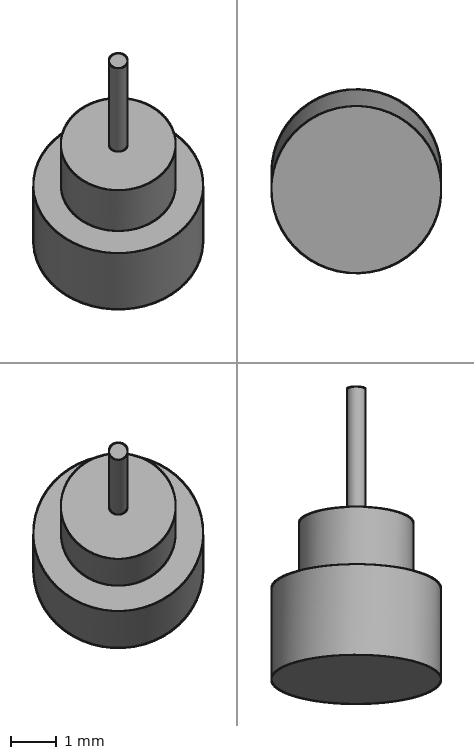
import cadquery as cq

flange_diameter = 3.7
flange_height = 2.06
sleeve_diameter = 2.5
sleeve_height = 1.49
insulator_diameter = 1.95
pin_diameter = 0.41
total_height = 6.6

sleeve_top = flange_height + sleeve_height
pin_length = total_height - sleeve_top


def cylinder(diameter, height, base_z):
    """Upright cylinder on the Z axis, standing on the level base_z."""
    return cq.Workplane("XY").workplane(offset=base_z).circle(diameter / 2).extrude(height)


def make_shell():
    """Flange and sleeve, with the sleeve bored out for the insulator."""
    flange = cylinder(flange_diameter, flange_height, 0)
    sleeve = cylinder(sleeve_diameter, sleeve_height, flange_height)
    bore = cylinder(insulator_diameter, sleeve_height, flange_height)
    return flange.union(sleeve).cut(bore)


def make_core():
    """Insulator with the pin standing on its top face."""
    insulator = cylinder(insulator_diameter, sleeve_height, flange_height)
    pin = cylinder(pin_diameter, pin_length, sleeve_top)
    return insulator.union(pin)


result = make_shell().union(make_core(), clean=False)